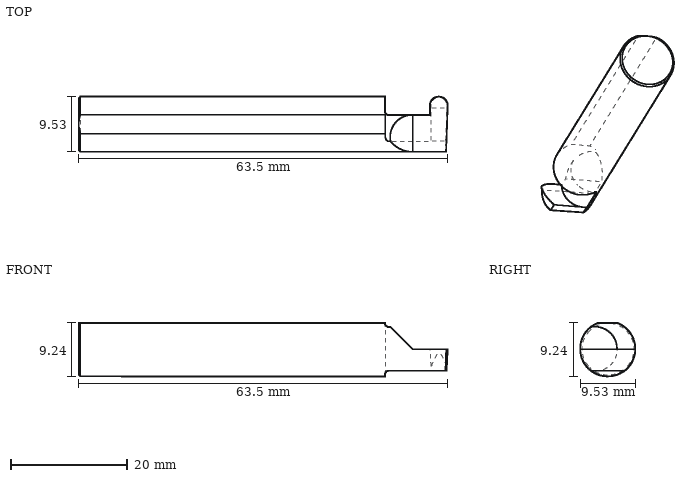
import cadquery as cq
import math

shank_diameter = 9.525
shank_radius = shank_diameter / 2
shank_length = 52.7
flat_height = 4.4775
back_chamfer = 0.3

total_length = 63.5
neck_radius = 3.81
neck_side = 1.6
neck_center_y = neck_side - neck_radius
neck_fillet = 0.6

floor_start = 57.45
floor_height = -0.05
ramp_angle = 45

hook_width = 3.1
hook_radius = hook_width / 2
hook_reach = shank_radius
flank_relief_angle = 3
end_relief_angle = 2


def x_cylinder(radius, start, end, center_y=0):
    """Solid cylinder parallel to X between two stations."""
    sketch = cq.Workplane("YZ", origin=(start, center_y, 0)).circle(radius)
    return sketch.extrude(end - start)


def cut_flat(body):
    """Remove everything above the flat that runs along the top."""
    above_flat = cq.Workplane("XY", origin=(0, 0, flat_height)).box(
        total_length, shank_diameter, shank_diameter, centered=(False, True, False)
    )
    return body.cut(above_flat)


def make_shank():
    shank = x_cylinder(shank_radius, 0, shank_length)
    shank = shank.faces("<X").chamfer(back_chamfer)
    return cut_flat(shank)


def make_root_fillet():
    """Concave flare that blends the neck into the end face of the shank."""
    arc_offset = neck_fillet * (1 - math.sqrt(0.5))
    profile = (
        cq.Workplane("XY")
        .moveTo(shank_length, neck_center_y)
        .lineTo(shank_length, neck_side + neck_fillet)
        .threePointArc(
            (shank_length + arc_offset, neck_side + arc_offset),
            (shank_length + neck_fillet, neck_side),
        )
        .lineTo(shank_length + neck_fillet, neck_center_y)
        .close()
    )
    return profile.revolve(360, (0, neck_center_y, 0), (1, neck_center_y, 0))


def make_neck():
    """Eccentric neck, flush with the shank along its -Y side."""
    neck = x_cylinder(neck_radius, shank_length, total_length - hook_radius, neck_center_y)
    neck = neck.union(make_root_fillet())
    envelope = x_cylinder(shank_radius, shank_length, total_length)
    return cut_flat(neck.intersect(envelope))


def make_hook():
    """Head block with a round-ended finger; its flanks and end face taper below the floor."""
    hook_center_x = total_length - hook_radius
    shoulder_y = hook_reach - hook_radius
    setback = (shoulder_y + shank_diameter) * math.tan(math.radians(end_relief_angle))
    block = (
        cq.Workplane("XY", origin=(hook_center_x, 0, floor_height))
        .moveTo(-hook_radius, -shank_diameter)
        .lineTo(-hook_radius, shoulder_y)
        .threePointArc((0, hook_reach), (hook_radius, shoulder_y))
        .lineTo(hook_radius - setback, -shank_diameter)
        .close()
        .extrude(-(neck_radius + floor_height), taper=flank_relief_angle)
    )
    return block.intersect(x_cylinder(shank_radius, 0, total_length))


def make_ramp_cut():
    """Material removed above the ramp and the floor."""
    ramp_run = (shank_radius - floor_height) / math.tan(math.radians(ramp_angle))
    profile = (
        cq.Workplane("XZ")
        .moveTo(floor_start, floor_height)
        .lineTo(floor_start - ramp_run, shank_radius)
        .lineTo(total_length, shank_radius)
        .lineTo(total_length, floor_height)
        .close()
    )
    return profile.extrude(shank_radius, both=True)


neck = make_neck().cut(make_ramp_cut())
head = neck.union(make_hook())
result = make_shank().union(head)